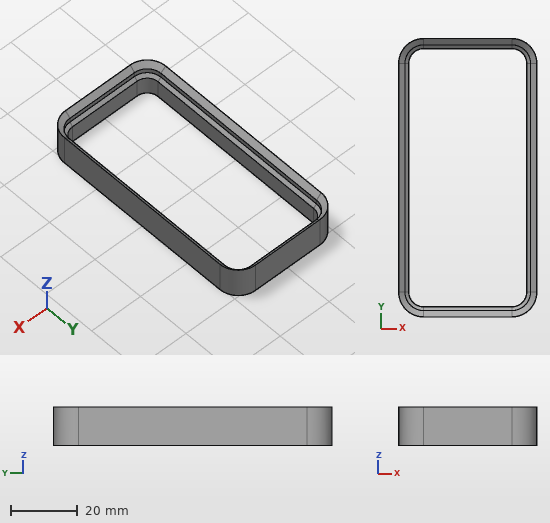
import cadquery as cq

width = 41.5
length = 83.5
height = 11.7
corner_radius = 7.5

upper_bevel = 1.9
step_height = 1.75
lower_bevel = 1.2
wall = upper_bevel + lower_bevel

upper_bevel_bottom = height - upper_bevel
lower_bevel_top = upper_bevel_bottom - step_height
lower_bevel_bottom = lower_bevel_top - lower_bevel


def rounded_outline(inset, z):
    """Rounded rectangle, concentric with the outside face, at height z."""
    rectangle = cq.Sketch().rect(width - 2 * inset, length - 2 * inset)
    outline = rectangle.vertices().fillet(corner_radius - inset)
    return cq.Workplane("XY").workplane(offset=z).placeSketch(outline)


def straight_block(inset, bottom, top):
    return rounded_outline(inset, bottom).extrude(top - bottom)


def outline_wire(inset, z):
    return straight_block(inset, z, z + height).faces("<Z").wires().val()


def bevelled_block(bottom_inset, bottom, top_inset, top):
    """Solid that widens upward between two concentric rounded rectangles."""
    outlines = [outline_wire(bottom_inset, bottom), outline_wire(top_inset, top)]
    return cq.Workplane(cq.Solid.makeLoft(outlines, True))


body = straight_block(0, 0, height)
opening = straight_block(wall, 0, lower_bevel_bottom)
lower_seat = bevelled_block(wall, lower_bevel_bottom, upper_bevel, lower_bevel_top)
step = straight_block(upper_bevel, lower_bevel_top, upper_bevel_bottom)
upper_seat = bevelled_block(upper_bevel, upper_bevel_bottom, 0, height)

result = body.cut(opening).cut(lower_seat).cut(step).cut(upper_seat)